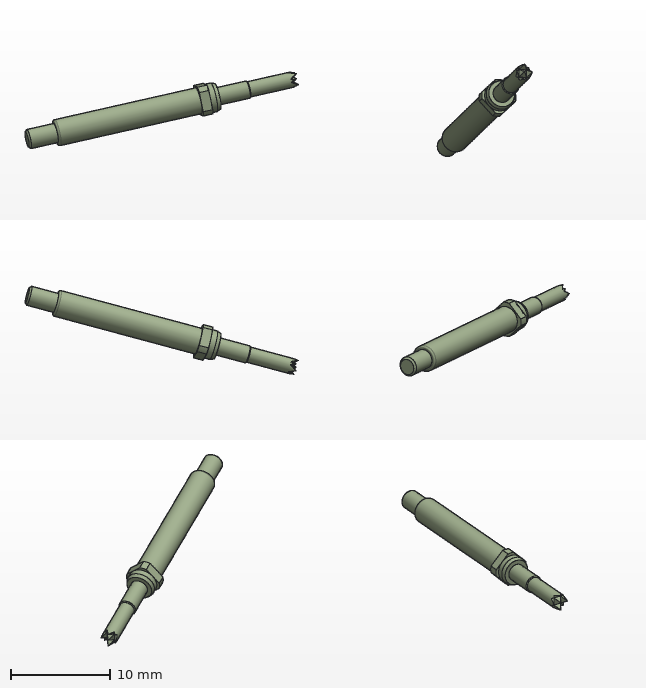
import cadquery as cq
import math


TAIL_DIAMETER = 2.0
TAIL_LENGTH = 3.0
TAIL_CHAMFER = 0.2

BARREL_DIAMETER = 2.7
BARREL_LENGTH = 15.0
BARREL_END_RADIUS = 0.2

FLANGE_WIDTH = 3.0
FLANGE_CORNER_DIAMETER = 3.6
FLANGE_THICKNESS = 1.0

COLLAR_DIAMETER = FLANGE_WIDTH
COLLAR_END_DIAMETER = BARREL_DIAMETER
COLLAR_LENGTH = 1.0
COLLAR_TAPER_LENGTH = 0.4

PLUNGER_DIAMETER = 1.8
TIP_DIAMETER = 1.6
PLUNGER_LENGTH = 3.3
PLUNGER_SHOULDER_LENGTH = (PLUNGER_DIAMETER - TIP_DIAMETER) / 2
TIP_LENGTH = 5.0

GROOVE_ANGLE = 60.0
GROOVE_WIDTH = TIP_DIAMETER / 2
GROOVE_OFFSET = GROOVE_WIDTH / 2
GROOVE_DEPTH = GROOVE_WIDTH / 2 / math.tan(math.radians(GROOVE_ANGLE / 2))

BARREL_END = -BARREL_LENGTH
TAIL_END = BARREL_END - TAIL_LENGTH
COLLAR_END = FLANGE_THICKNESS + COLLAR_LENGTH
PLUNGER_STEP = COLLAR_END + PLUNGER_LENGTH
TIP_END = PLUNGER_STEP + TIP_LENGTH


def turned_body():
    """All round sections, turned about Y as one profile of (radius, Y) points.

    A quarter arc rounds the rim of the barrel at its tail end.
    """
    tail = TAIL_DIAMETER / 2
    barrel = BARREL_DIAMETER / 2
    collar = COLLAR_DIAMETER / 2
    plunger = PLUNGER_DIAMETER / 2
    tip = TIP_DIAMETER / 2
    corner_inset = BARREL_END_RADIUS * (1 - math.cos(math.radians(45)))
    rounding_middle = (barrel - corner_inset, BARREL_END + corner_inset)
    below_rounding = [
        (0, TAIL_END),
        (tail - TAIL_CHAMFER, TAIL_END),
        (tail, TAIL_END + TAIL_CHAMFER),
        (tail, BARREL_END),
        (barrel - BARREL_END_RADIUS, BARREL_END),
    ]
    above_rounding = [
        (barrel, 0),
        (collar, 0),
        (collar, COLLAR_END - COLLAR_TAPER_LENGTH),
        (COLLAR_END_DIAMETER / 2, COLLAR_END),
        (plunger, COLLAR_END),
        (plunger, PLUNGER_STEP - PLUNGER_SHOULDER_LENGTH),
        (tip, PLUNGER_STEP),
        (tip, TIP_END),
        (0, TIP_END),
    ]
    profile = (
        cq.Workplane("XY")
        .polyline(below_rounding)
        .threePointArc(rounding_middle, (barrel, BARREL_END + BARREL_END_RADIUS))
        .polyline(above_rounding, includeCurrent=True)
        .close()
    )
    return profile.revolve(360, (0, 0, 0), (0, 1, 0))


def flange():
    """Square plate with its corners on the X and Z axes, rounded by a coaxial disc."""
    plate = cq.Workplane("XZ").rect(FLANGE_WIDTH, FLANGE_WIDTH).extrude(-FLANGE_THICKNESS)
    plate = plate.rotate((0, 0, 0), (0, 1, 0), 45)
    disc = cq.Workplane("XZ").circle(FLANGE_CORNER_DIAMETER / 2).extrude(-FLANGE_THICKNESS)
    return plate.intersect(disc)


def crown_groove(offset):
    """V groove running along Z across the whole tip, centred at X = offset."""
    half_width = GROOVE_WIDTH / 2
    outline = [
        (offset - half_width, TIP_END),
        (offset, TIP_END - GROOVE_DEPTH),
        (offset + half_width, TIP_END),
    ]
    return cq.Workplane("XY").polyline(outline).close().extrude(TIP_DIAMETER, both=True)


def cut_crown(body):
    """Cut the crossing grooves that leave the pointed crown."""
    for side in (-1, 1):
        groove = crown_groove(side * GROOVE_OFFSET)
        for turn in (0, 90):
            body = body.cut(groove.rotate((0, 0, 0), (0, 1, 0), turn))
    return body


result = cut_crown(turned_body().union(flange()))